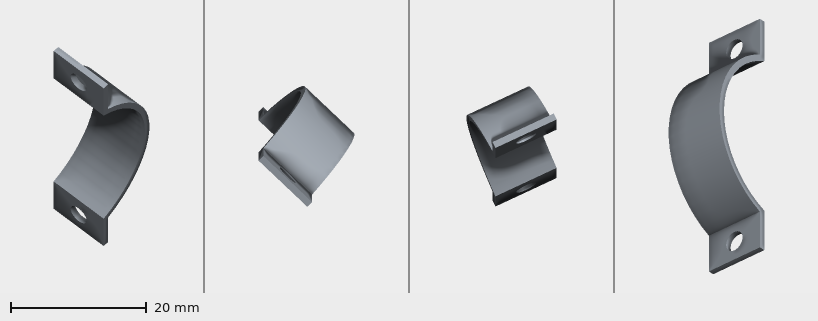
import cadquery as cq
import math

width = 10.0
height = 40.0
depth = 10.0
thickness = 1.0
outer_radius = 15.0
hole_diameter = 3.2
hole_spacing = 33.6

inner_radius = outer_radius - thickness
arch_center_y = depth - outer_radius


def half_chord(radius, y):
    """Half height of the arch circle where it meets the plane at y."""
    return math.sqrt(radius**2 - (y - arch_center_y) ** 2)


half_height = height / 2
inner_corner_z = half_chord(inner_radius, 0)
outer_corner_z = half_chord(outer_radius, thickness)

strip = (
    cq.Workplane("YZ")
    .moveTo(0, half_height)
    .lineTo(thickness, half_height)
    .lineTo(thickness, outer_corner_z)
    .threePointArc((depth, 0), (thickness, -outer_corner_z))
    .lineTo(thickness, -half_height)
    .lineTo(0, -half_height)
    .lineTo(0, -inner_corner_z)
    .threePointArc((depth - thickness, 0), (0, inner_corner_z))
    .close()
    .extrude(width / 2, both=True)
)

holes = (
    cq.Workplane("XZ", origin=(0, thickness, 0))
    .pushPoints([(0, hole_spacing / 2), (0, -hole_spacing / 2)])
    .circle(hole_diameter / 2)
    .extrude(thickness)
)

result = strip.cut(holes)